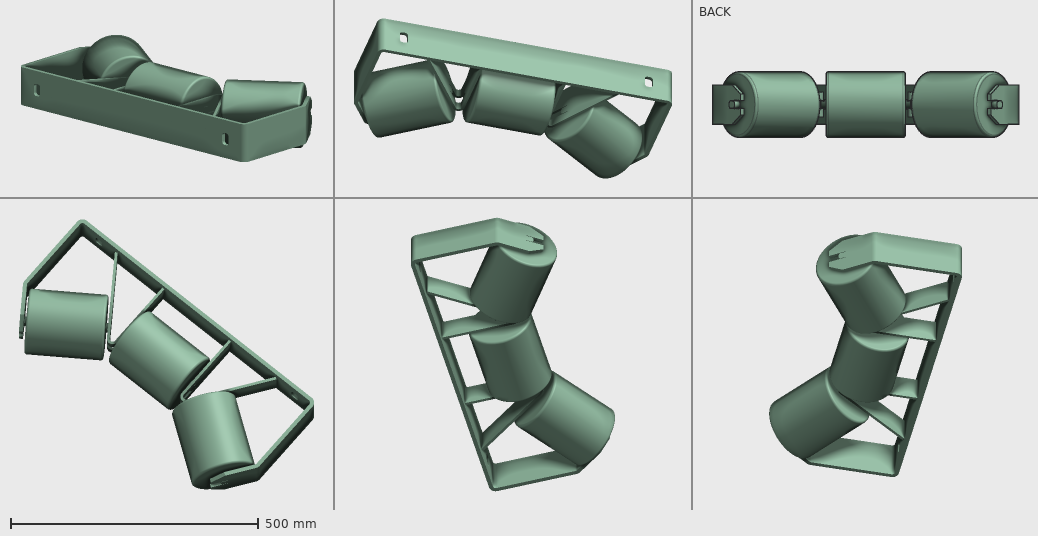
import cadquery as cq
import math


TROUGH_ANGLE = 35.0

FRAME_WIDTH = 620.0
FRAME_THICKNESS = 8.0
FRAME_HEIGHT = 80.0
FRAME_BEND_RADIUS = 13.5
FRAME_BEND_Y = 180.0
ARM_LENGTH = 95.0
ARM_CHAMFER_LENGTH = 30.0
ARM_CHAMFER_HEIGHT = 18.5

MOUNT_SLOT_X = 258.0
MOUNT_SLOT_HEIGHT = 25.5
MOUNT_SLOT_WIDTH = 17.5
MOUNT_SLOT_CORNER = 6.0

BRACKET_THICKNESS = 5.5
BRACKET_HEIGHT = 50.0
BRACKET_BEND_RADIUS = 12.0
BRACKET_FACE_X = 85.0
BRACKET_TOP_Y = 168.5

ROLLER_DIAMETER = 133.0
ROLLER_LENGTH = 160.0
ROLLER_FILLET = 5.0
SHAFT_DIAMETER = 20.0
SHAFT_FLATS = 14.0
SHAFT_SLOT_WIDTH = 17.0
SHAFT_DROP = 31.5
SHOULDER_GAP = 2.0

TILT = math.radians(TROUGH_ANGLE)
AXIS = cq.Vector(math.cos(TILT), math.sin(TILT))
ALONG = cq.Vector(-math.sin(TILT), math.cos(TILT))

FRAME_INNER_RADIUS = FRAME_BEND_RADIUS - FRAME_THICKNESS
FRAME_SIDE_X = FRAME_WIDTH / 2
BEND_X = FRAME_SIDE_X - FRAME_BEND_RADIUS
CORNER_CENTRE = cq.Vector(BEND_X, FRAME_BEND_RADIUS)
ARM_CENTRE = cq.Vector(BEND_X, FRAME_BEND_Y)

BRACKET_INNER_RADIUS = BRACKET_BEND_RADIUS - BRACKET_THICKNESS
FOLD_CENTRE = cq.Vector(
    BRACKET_FACE_X + BRACKET_BEND_RADIUS,
    BRACKET_TOP_Y - BRACKET_BEND_RADIUS,
)

CENTRE_ROLLER = cq.Vector(0, FOLD_CENTRE.y - SHAFT_DROP)
SIDE_ROLLER = FOLD_CENTRE + AXIS * (BRACKET_BEND_RADIUS + BRACKET_FACE_X) - ALONG * SHAFT_DROP

ARM_FACE = (ARM_CENTRE - SIDE_ROLLER).dot(AXIS) + FRAME_INNER_RADIUS


def on_circle(centre, radius, degrees):
    angle = math.radians(degrees)
    return (centre.x + radius * math.cos(angle), centre.y + radius * math.sin(angle))


def xy(point):
    return (point.x, point.y)


def place(shape, position, degrees):
    """Turn a shape about Z, then move it from the origin to a position."""
    return shape.rotate((0, 0, 0), (0, 0, 1), degrees).translate(position)


def mirrored(shape):
    return shape.mirror("YZ")


def flatted_rod(start, end, flats):
    """Rod of the shaft diameter along X with flats above and below."""
    length = end - start
    rod = cq.Workplane("YZ", origin=(start, 0, 0)).circle(SHAFT_DIAMETER / 2).extrude(length)
    slab = cq.Workplane("YZ", origin=(start, 0, 0)).rect(SHAFT_DIAMETER, flats).extrude(length)
    return rod.intersect(slab)


def shaft_slot(start, end, opening):
    """Cutter along X: a channel open toward +Y with a floor that fits the shaft."""
    channel = (
        cq.Workplane("XY")
        .box(end - start, opening, SHAFT_SLOT_WIDTH, centered=(False, False, True))
        .translate((start, 0, 0))
    )
    return flatted_rod(start, end, SHAFT_SLOT_WIDTH).union(channel)


def frame_half():
    """The +X half of the bent frame strip, with its pointed arm tip."""
    outer = FRAME_BEND_RADIUS
    inner = FRAME_INNER_RADIUS
    tip_shift = ALONG * ARM_LENGTH
    outer_tip = ARM_CENTRE + AXIS * outer + tip_shift
    inner_tip = ARM_CENTRE + AXIS * inner + tip_shift
    half = (
        cq.Workplane("XY", origin=(0, 0, -FRAME_HEIGHT / 2))
        .moveTo(0, 0)
        .lineTo(CORNER_CENTRE.x, 0)
        .threePointArc(on_circle(CORNER_CENTRE, outer, -45), on_circle(CORNER_CENTRE, outer, 0))
        .lineTo(*on_circle(ARM_CENTRE, outer, 0))
        .threePointArc(
            on_circle(ARM_CENTRE, outer, TROUGH_ANGLE / 2),
            on_circle(ARM_CENTRE, outer, TROUGH_ANGLE),
        )
        .lineTo(*xy(outer_tip))
        .lineTo(*xy(inner_tip))
        .lineTo(*on_circle(ARM_CENTRE, inner, TROUGH_ANGLE))
        .threePointArc(
            on_circle(ARM_CENTRE, inner, TROUGH_ANGLE / 2),
            on_circle(ARM_CENTRE, inner, 0),
        )
        .lineTo(*on_circle(CORNER_CENTRE, inner, 0))
        .threePointArc(on_circle(CORNER_CENTRE, inner, -45), on_circle(CORNER_CENTRE, inner, -90))
        .lineTo(0, FRAME_THICKNESS)
        .close()
        .extrude(FRAME_HEIGHT)
    )
    for side in (1, -1):
        edge_z = side * FRAME_HEIGHT / 2
        corner = (
            cq.Workplane("YZ")
            .polyline([
                (0, edge_z),
                (-ARM_CHAMFER_LENGTH, edge_z),
                (0, edge_z - side * ARM_CHAMFER_HEIGHT),
            ])
            .close()
            .extrude(-FRAME_THICKNESS)
        )
        half = half.cut(place(corner, outer_tip, TROUGH_ANGLE))

    tip_above_shaft = (outer_tip - SIDE_ROLLER).dot(ALONG)
    slot = shaft_slot(ARM_FACE, ARM_FACE + FRAME_THICKNESS, tip_above_shaft)
    return half.cut(place(slot, SIDE_ROLLER, TROUGH_ANGLE))


def make_frame():
    half = frame_half()
    mount_slots = (
        cq.Workplane("XZ")
        .pushPoints([(-MOUNT_SLOT_X, 0), (MOUNT_SLOT_X, 0)])
        .rect(MOUNT_SLOT_WIDTH, MOUNT_SLOT_HEIGHT)
        .extrude(-FRAME_THICKNESS)
        .edges("|Y")
        .fillet(MOUNT_SLOT_CORNER)
    )
    return half.union(mirrored(half)).cut(mount_slots)


def make_bracket():
    """The +X bracket: an upright leg folded over into a tilted leg."""
    outer = BRACKET_BEND_RADIUS
    inner = BRACKET_INNER_RADIUS
    crest_angle = (180 + TROUGH_ANGLE) / 2
    inner_bend_end = FOLD_CENTRE + AXIS * inner
    leg_length = (inner_bend_end.y - FRAME_THICKNESS) / math.cos(TILT)
    inner_foot = inner_bend_end - ALONG * leg_length
    outer_foot = inner_foot + AXIS * BRACKET_THICKNESS
    bracket = (
        cq.Workplane("XY", origin=(0, 0, -BRACKET_HEIGHT / 2))
        .moveTo(BRACKET_FACE_X, FRAME_THICKNESS)
        .lineTo(*on_circle(FOLD_CENTRE, outer, 180))
        .threePointArc(
            on_circle(FOLD_CENTRE, outer, crest_angle),
            on_circle(FOLD_CENTRE, outer, TROUGH_ANGLE),
        )
        .lineTo(*xy(outer_foot))
        .lineTo(*xy(inner_foot))
        .lineTo(*xy(inner_bend_end))
        .threePointArc(
            on_circle(FOLD_CENTRE, inner, crest_angle),
            on_circle(FOLD_CENTRE, inner, 180),
        )
        .lineTo(BRACKET_FACE_X + BRACKET_THICKNESS, FRAME_THICKNESS)
        .close()
        .extrude(BRACKET_HEIGHT)
    )
    slot_opening = SHAFT_DROP + BRACKET_BEND_RADIUS
    slot_end = BRACKET_FACE_X + 2 * BRACKET_BEND_RADIUS
    upright_slot = shaft_slot(BRACKET_FACE_X, slot_end, slot_opening)
    tilted_slot = shaft_slot(-slot_end, -BRACKET_FACE_X, slot_opening)
    return (
        bracket
        .cut(place(upright_slot, CENTRE_ROLLER, 0))
        .cut(place(tilted_slot, SIDE_ROLLER, TROUGH_ANGLE))
    )


def make_roller(left_face, left_plate, right_face, right_plate):
    """Roller along X with its shaft; each end has the distance to the
    supporting plate's near face and that plate's thickness."""
    body = (
        cq.Workplane("YZ", origin=(-ROLLER_LENGTH / 2, 0, 0))
        .circle(ROLLER_DIAMETER / 2)
        .extrude(ROLLER_LENGTH)
        .edges()
        .fillet(ROLLER_FILLET)
    )
    round_start = SHOULDER_GAP - left_face
    round_end = right_face - SHOULDER_GAP
    round_shaft = (
        cq.Workplane("YZ", origin=(round_start, 0, 0))
        .circle(SHAFT_DIAMETER / 2)
        .extrude(round_end - round_start)
    )
    shaft_ends = flatted_rod(-left_face - left_plate, right_face + right_plate, SHAFT_FLATS)
    return body.union(round_shaft).union(shaft_ends)


frame = make_frame()

bracket = make_bracket()
brackets = [bracket, mirrored(bracket)]

centre_roller = place(
    make_roller(BRACKET_FACE_X, BRACKET_THICKNESS, BRACKET_FACE_X, BRACKET_THICKNESS),
    CENTRE_ROLLER,
    0,
)
side_roller = place(
    make_roller(BRACKET_FACE_X, BRACKET_THICKNESS, ARM_FACE, FRAME_THICKNESS),
    SIDE_ROLLER,
    TROUGH_ANGLE,
)
rollers = [centre_roller, side_roller, mirrored(side_roller)]

result = cq.Compound.makeCompound([body.solids().val() for body in [frame, *brackets, *rollers]])